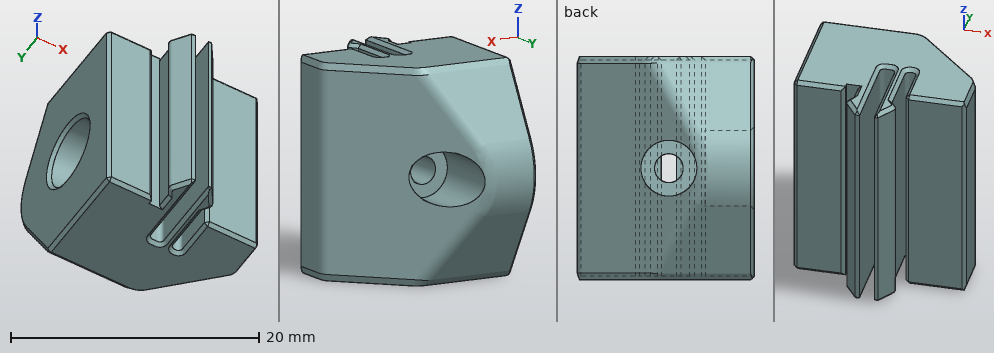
import cadquery as cq
import math

width = 14.3
height = 18.0
nose_y = 13.73
nose_radius = 6.0
flank_angle = 60.0
slope_sum = 18.0
bevel = 0.3
slope_rim_radius = 1.3
rear_edge_inset = 0.2
rear_edge_drop = 0.58

clip_left = 5.22
clip_right = 8.37
clip_slot_left = 6.28
clip_slot_right = 7.5
slot_end_y = 4.03
slot_corner_radius = 0.4
side_slot_right = 9.27
notch_left = 4.27
notch_depth = 0.65
barb_left = 4.73
barb_right = 8.95
barb_y = -1.55
barb_radius = 0.5
barb_root_y = -0.75
tip_left = 5.9
tip_right = 7.8
tip_y = -3.22

pocket_diameter = 6.1
pocket_y = 6.15
pocket_depth = 4.0
screw_diameter = 2.3
head_diameter = 4.5
head_seat_y = 7.2

mid_z = height / 2
touch = 0.02
screw_x = (clip_slot_left + clip_slot_right) / 2


def plan_prism():
    """Outline seen along Z, without the slot between the prongs."""
    outline = (
        cq.Workplane("XY")
        .polyline([
            (0, 0),
            (notch_left, 0),
            (notch_left, notch_depth),
            (clip_left, notch_depth),
            (clip_left, barb_root_y),
            (barb_left, barb_y),
            (tip_left, tip_y),
            (tip_right, tip_y),
            (barb_right, barb_y),
            (clip_right, barb_root_y),
            (clip_right, slot_end_y),
            (side_slot_right, slot_end_y),
            (side_slot_right, 0),
            (width, 0),
            (width, slope_sum - width),
            (slope_sum - nose_y, nose_y),
            (0, nose_y),
        ])
        .close()
        .extrude(height)
    )
    side_slot_end = cq.selectors.BoxSelector(
        (clip_right - touch, slot_end_y - touch, 0),
        (side_slot_right + touch, slot_end_y + touch, height),
    )
    barbs = cq.selectors.BoxSelector(
        (barb_left - touch, barb_y - touch, 0),
        (barb_right + touch, barb_y + touch, height),
    )
    outline = outline.edges("|Z").edges(side_slot_end).fillet(slot_corner_radius)
    return outline.edges("|Z").edges(barbs).fillet(barb_radius)


def side_prism():
    """Outline seen along X: rounded nose between two flat flanks."""
    angle = math.radians(flank_angle)
    nose_center_y = nose_y - nose_radius
    tangent_y = nose_center_y + nose_radius * math.sin(angle)
    tangent_z = nose_radius * math.cos(angle)
    flank_y = tangent_y - (mid_z - tangent_z) / math.tan(angle)
    return (
        cq.Workplane("YZ")
        .moveTo(tip_y, 0)
        .lineTo(flank_y, 0)
        .lineTo(tangent_y, mid_z - tangent_z)
        .threePointArc((nose_y, mid_z), (tangent_y, mid_z + tangent_z))
        .lineTo(flank_y, height)
        .lineTo(tip_y, height)
        .close()
        .extrude(width)
    )


def lies_on_slope(rim_edge):
    ends_and_middle = [rim_edge.positionAt(t) for t in (0, 0.5, 1)]
    return all(abs(p.x + p.y - slope_sum) < touch for p in ends_and_middle)


def round_slope_rim(body):
    """Round every border of the slope except its top and bottom edges."""
    rim = [
        e for e in body.edges().vals()
        if lies_on_slope(e) and touch < e.Center().z < height - touch
    ]
    return body.newObject(rim).fillet(slope_rim_radius)


def is_in_notch(rim_edge):
    center = rim_edge.Center()
    return notch_left - touch < center.x < clip_left - touch and 0 < center.y <= notch_depth + touch


def is_on_rear_chain(rim_edge):
    """True for the tangent chain right wall - slope - flank."""
    center = rim_edge.Center()
    beside_side_slot = center.x > side_slot_right + touch and center.y > touch
    behind_slots = center.x > touch and center.y > slot_end_y + touch
    return beside_side_slot or behind_slots


def bevel_edges(body):
    rims = body.faces(">Z or <Z").edges().vals()
    picked = [e for e in rims if not is_in_notch(e) and not is_on_rear_chain(e)]
    picked += body.faces("<X").edges("not |Y").vals()
    front_corners = cq.selectors.BoxSelector(
        (side_slot_right - touch, -touch, 0), (width + touch, touch, height)
    )
    picked += body.edges("|Z").edges(front_corners).vals()
    body = body.newObject(picked).chamfer(bevel)

    for z in (0, height):
        chain_start = cq.selectors.NearestToPointSelector((width, 0, z))
        right_wall_edge = body.faces(">X").edges("|Y").edges(chain_start)
        body = right_wall_edge.chamfer(rear_edge_inset, rear_edge_drop)
    return body


def notch_corner_cutter():
    """Bevel of the front corner beside the notch, over the full height."""
    return (
        cq.Workplane("XY")
        .polyline([(notch_left - bevel, 0), (notch_left, bevel), (notch_left, 0)])
        .close()
        .extrude(height)
    )


def clip_slot_outline(growth):
    """Slot between the prongs, open past the tips, widened all round by growth."""
    length = slot_end_y - tip_y + 2 * growth + touch
    return (
        cq.Sketch()
        .push([(screw_x, slot_end_y + growth - length / 2)])
        .rect(clip_slot_right - clip_slot_left + 2 * growth, length)
        .reset()
        .vertices(">Y")
        .fillet(slot_corner_radius + growth)
    )


def clip_slot_cutter():
    slot = cq.Workplane("XY").placeSketch(clip_slot_outline(0)).extrude(height)
    wide_mouth = clip_slot_outline(bevel)
    upper = cq.Workplane("XY", origin=(0, 0, height)).placeSketch(wide_mouth).extrude(-bevel, taper=45)
    lower = cq.Workplane("XY").placeSketch(wide_mouth).extrude(bevel, taper=45)
    return slot.union(upper).union(lower)


def pocket_cutter():
    """Blind round pocket in the left face, with a bevelled mouth."""
    radius = pocket_diameter / 2
    return (
        cq.Workplane("XY")
        .polyline([
            (0, 0),
            (0, radius + bevel),
            (bevel, radius),
            (pocket_depth, radius),
            (pocket_depth, 0),
        ])
        .close()
        .revolve(360, (0, 0), (1, 0))
        .translate((0, pocket_y, mid_z))
    )


def screw_cutter():
    """Screw hole from the clip slot to the slope, with a recess for the head."""
    rear_plane = cq.Workplane("XZ", origin=(screw_x, nose_y, mid_z))
    hole_length = nose_y - slot_end_y + slot_corner_radius
    hole = rear_plane.circle(screw_diameter / 2).extrude(hole_length)
    head_recess = rear_plane.circle(head_diameter / 2).extrude(nose_y - head_seat_y)
    return hole.union(head_recess)


block = plan_prism().intersect(side_prism())
block = bevel_edges(round_slope_rim(block))
result = (
    block.cut(notch_corner_cutter())
    .cut(clip_slot_cutter())
    .cut(pocket_cutter())
    .cut(screw_cutter())
)